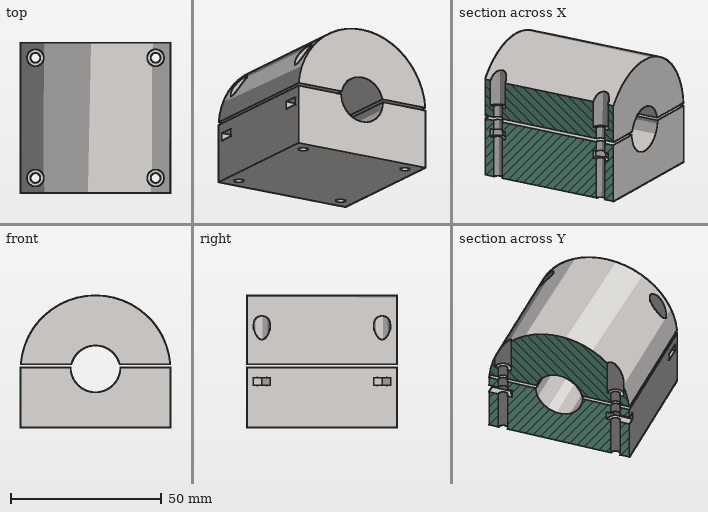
import cadquery as cq
import math

SIDE = 50.0
BASE_HEIGHT = 20.0
GAP = 1.0
BORE_DIAMETER = 16.5

CAP_RADIUS = SIDE / 2
CAP_AXIS_Z = 19.0
CAP_BOTTOM_Z = BASE_HEIGHT + GAP

SCREW_SPACING = 40.0
SCREW_DIAMETER = 3.2
HEAD_DIAMETER = 5.6
HEAD_SEAT_Z = 25.0

NUT_WIDTH = 5.6
NUT_SLOT_HEIGHT = 2.6
NUT_SLOT_Z = 14.0
NUT_CORNERS = NUT_WIDTH / math.cos(math.pi / 6)

SCREW_POSITIONS = [
    (sx * SCREW_SPACING / 2, sy * SCREW_SPACING / 2)
    for sx in (-1, 1)
    for sy in (-1, 1)
]


def bar_along_y(radius, axis_z):
    """Round bar as long as the block, centred on Y."""
    return (
        cq.Workplane("XZ", origin=(0, 0, axis_z))
        .circle(radius)
        .extrude(SIDE / 2, both=True)
    )


def vertical_cylinders(diameter, bottom_z, height):
    """One upright cylinder at each screw position."""
    return (
        cq.Workplane("XY", origin=(0, 0, bottom_z))
        .pushPoints(SCREW_POSITIONS)
        .circle(diameter / 2)
        .extrude(height)
    )


def nut_slot(x, y):
    """Hexagonal nut pocket with corners along X, open to the nearer side face."""
    pocket = (
        cq.Workplane("XY", origin=(x, y, NUT_SLOT_Z))
        .polygon(6, NUT_CORNERS)
        .extrude(NUT_SLOT_HEIGHT)
    )
    entry_length = SIDE / 2 - abs(x)
    entry_x = x + math.copysign(entry_length / 2, x)
    entry = (
        cq.Workplane("XY", origin=(entry_x, y, NUT_SLOT_Z))
        .rect(entry_length, NUT_WIDTH)
        .extrude(NUT_SLOT_HEIGHT)
    )
    return pocket.union(entry)


def make_base():
    """Rectangular lower half with half bore, screw holes and nut slots."""
    base = cq.Workplane("XY").rect(SIDE, SIDE).extrude(BASE_HEIGHT)
    base = base.cut(bar_along_y(BORE_DIAMETER / 2, BASE_HEIGHT))
    base = base.cut(vertical_cylinders(SCREW_DIAMETER, 0, BASE_HEIGHT))
    for x, y in SCREW_POSITIONS:
        base = base.cut(nut_slot(x, y))
    return base


def make_cap():
    """Rounded upper half with its part of the bore and counterbored screw holes."""
    cap_height = CAP_AXIS_Z + CAP_RADIUS - CAP_BOTTOM_Z
    keep = (
        cq.Workplane("XY", origin=(0, 0, CAP_BOTTOM_Z))
        .rect(SIDE, SIDE)
        .extrude(cap_height)
    )
    cap = bar_along_y(CAP_RADIUS, CAP_AXIS_Z).intersect(keep)
    cap = cap.cut(bar_along_y(BORE_DIAMETER / 2, CAP_AXIS_Z))
    cap = cap.cut(vertical_cylinders(SCREW_DIAMETER, CAP_BOTTOM_Z, cap_height))
    return cap.cut(vertical_cylinders(HEAD_DIAMETER, HEAD_SEAT_Z, cap_height))


base = make_base()
cap = make_cap()
result = cq.Compound.makeCompound([base.val(), cap.val()])